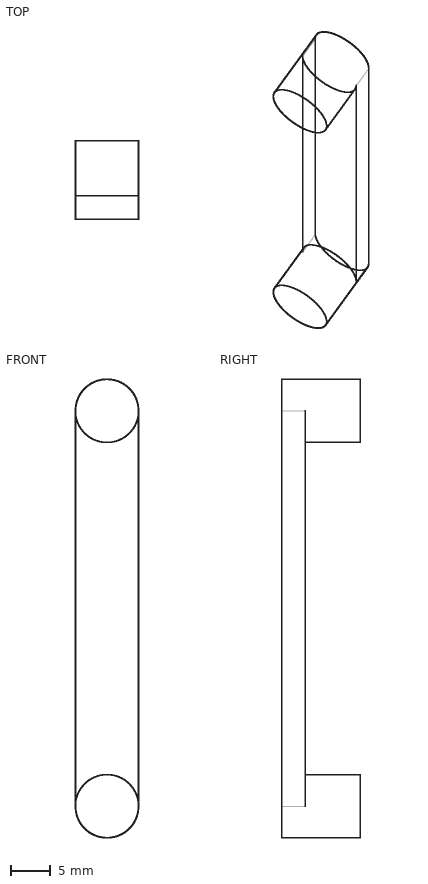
import cadquery as cq

length = 58.0
width = 8.0
depth = 10.0
bar_thickness = 3.0

post_spacing = length - width
front_y = -depth / 2


def grip_bar():
    """Flat bar against the front plane, running between the post axes."""
    return (
        cq.Workplane("XZ", origin=(0, front_y, 0))
        .rect(width, post_spacing)
        .extrude(-bar_thickness)
    )


def end_posts():
    """Two round posts, whose outer halves round off the bar ends."""
    return (
        cq.Workplane("XZ", origin=(0, front_y, 0))
        .pushPoints([(0, -post_spacing / 2), (0, post_spacing / 2)])
        .circle(width / 2)
        .extrude(-depth)
    )


result = grip_bar().union(end_posts()).clean()